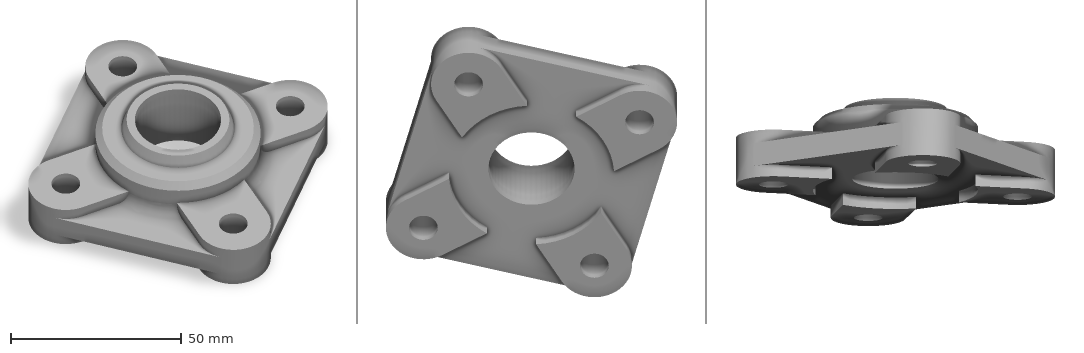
import cadquery as cq
import math

side = 74.0
corner_radius = 11.0
plate_bottom = 3.5
plate_top = 10.35

lug_height = 14.05
bolt_hole_diameter = 8.4
bolt_offset = side / 2 - corner_radius
bolt_circle_radius = bolt_offset * math.sqrt(2)

hub_radius = 24.3
hub_top = 21.0
hub_chamfer = 2.0
hub_fillet = 3.0

insert_radius = 16.65
insert_top_radius = 15.1
insert_top = 24.5
bore_radius = 12.65


def cylinder(radius, bottom, top):
    """Vertical cylinder on the central axis."""
    return cq.Workplane("XY").workplane(offset=bottom).circle(radius).extrude(top - bottom)


def make_plate():
    """Square plate above the lug feet, its corners cut off inside the lug ends."""
    plate = cq.Workplane("XY").workplane(offset=plate_bottom).rect(side, side)
    return plate.extrude(plate_top - plate_bottom).edges("|Z").chamfer(corner_radius)


def make_lug(angle):
    """Round-ended bar from the central axis to one bolt hole."""
    bar = (
        cq.Workplane("XY")
        .center(bolt_circle_radius / 2, 0)
        .rect(bolt_circle_radius, 2 * corner_radius)
        .extrude(lug_height)
    )
    end = cq.Workplane("XY").center(bolt_circle_radius, 0).circle(corner_radius).extrude(lug_height)
    return bar.union(end).rotate((0, 0, 0), (0, 0, 1), angle)


def make_hub():
    """Chamfered hub with a concave fillet at its foot, revolved about Z."""
    half_diagonal = math.sqrt(0.5)
    fillet_center_radius = hub_radius + hub_fillet
    fillet_center_height = plate_top + hub_fillet
    fillet_middle = (
        fillet_center_radius - hub_fillet * half_diagonal,
        fillet_center_height - hub_fillet * half_diagonal,
    )
    return (
        cq.Workplane("XZ")
        .moveTo(0, plate_bottom)
        .lineTo(fillet_center_radius, plate_bottom)
        .lineTo(fillet_center_radius, plate_top)
        .threePointArc(fillet_middle, (hub_radius, fillet_center_height))
        .lineTo(hub_radius, hub_top - hub_chamfer)
        .lineTo(hub_radius - hub_chamfer, hub_top)
        .lineTo(0, hub_top)
        .close()
        .revolve(360, (0, 0, 0), (0, 1, 0))
    )


def make_housing():
    """Flange, lugs and hub, with the bolt holes and the seat of the insert."""
    body = make_plate().union(make_hub())
    for angle in (45, 135, 225, 315):
        body = body.union(make_lug(angle))

    underside_recess = cylinder(hub_radius, 0, plate_bottom)
    insert_seat = cylinder(insert_radius, plate_bottom, hub_top)
    bolt_holes = (
        cq.Workplane("XY")
        .rect(2 * bolt_offset, 2 * bolt_offset, forConstruction=True)
        .vertices()
        .circle(bolt_hole_diameter / 2)
        .extrude(lug_height)
    )
    return body.cut(underside_recess).cut(insert_seat).cut(bolt_holes)


def make_insert():
    """Bearing insert: a bored sleeve with a tapered nose above the hub."""
    return (
        cq.Workplane("XZ")
        .moveTo(bore_radius, plate_bottom)
        .lineTo(insert_radius, plate_bottom)
        .lineTo(insert_radius, hub_top)
        .lineTo(insert_top_radius, insert_top)
        .lineTo(bore_radius, insert_top)
        .close()
        .revolve(360, (0, 0, 0), (0, 1, 0))
    )


housing = make_housing()
insert = make_insert()
result = cq.Compound.makeCompound([housing.val(), insert.val()])